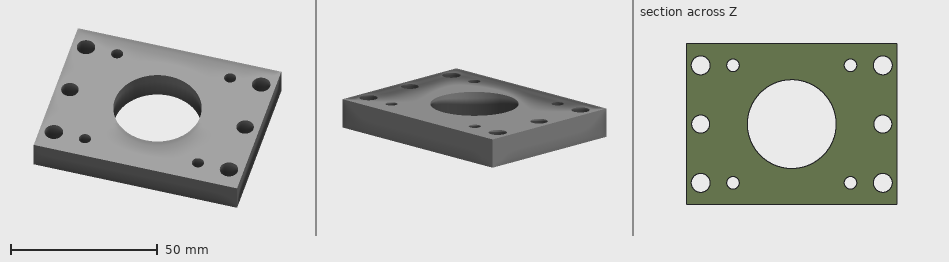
import cadquery as cq

plate_length = 72.0
plate_width = 55.0
plate_thickness = 10.0

bore_diameter = 30.1

small_hole_diameter = 4.13
small_hole_spacing = 40.0

edge_row_spacing = 62.0
edge_hole_pitch = 20.0
corner_hole_diameter = 6.3
middle_hole_diameter = 6.0


def drill_through(body, diameter, points):
    """Cut a vertical through hole at each point, measured from the plate centre."""
    return body.faces(">Z").workplane(origin=(0, 0, 0)).pushPoints(points).hole(diameter)


def corner_points(spacing_x, spacing_y):
    """Four corners of a rectangle centred on the plate."""
    return [
        (side_x * spacing_x / 2, side_y * spacing_y / 2)
        for side_x in (-1, 1)
        for side_y in (-1, 1)
    ]


plate = cq.Workplane("XY").box(
    plate_length, plate_width, plate_thickness, centered=(True, True, False)
)

centre_point = [(0, 0)]
small_hole_points = corner_points(small_hole_spacing, small_hole_spacing)
corner_hole_points = corner_points(edge_row_spacing, 2 * edge_hole_pitch)
middle_hole_points = [(-edge_row_spacing / 2, 0), (edge_row_spacing / 2, 0)]

plate = drill_through(plate, bore_diameter, centre_point)
plate = drill_through(plate, small_hole_diameter, small_hole_points)
plate = drill_through(plate, corner_hole_diameter, corner_hole_points)
plate = drill_through(plate, middle_hole_diameter, middle_hole_points)

result = plate